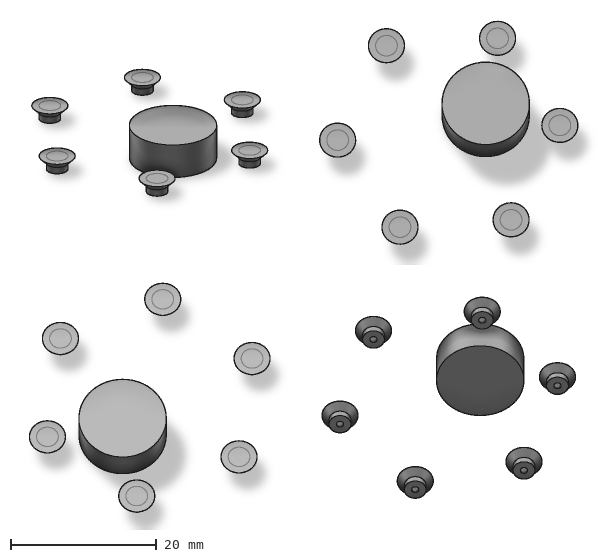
import cadquery as cq
import math

drum_diameter = 12.0
drum_height = 5.0
drum_center_x = drum_diameter / 2

stem_diameter = 3.0
stem_height = 1.0
flare_height = 1.0
flare_diameter = stem_diameter + 2 * flare_height
tip_height = 0.5
tip_radius = tip_height

foot_count = 6
foot_ring_radius = 15.27
first_foot_angle = 31.6


def make_drum():
    """Plain solid cylinder."""
    return cq.Workplane("XY").center(drum_center_x, 0).circle(drum_diameter / 2).extrude(drum_height)


def make_foot():
    """Foot revolved about Z: conical point, straight stem and flared head."""
    stem_radius = stem_diameter / 2
    head_z = stem_height + flare_height
    half_profile = [
        (0, -tip_height),
        (tip_radius, 0),
        (stem_radius, 0),
        (stem_radius, stem_height),
        (flare_diameter / 2, head_z),
        (stem_radius, head_z),
        (0, head_z),
    ]
    return cq.Workplane("XZ").polyline(half_profile).close().revolve(360, (0, 0), (0, 1), clean=False)


drum = make_drum()

feet = []
for index in range(foot_count):
    angle = math.radians(first_foot_angle + index * 360 / foot_count)
    foot_x = foot_ring_radius * math.cos(angle)
    foot_y = foot_ring_radius * math.sin(angle)
    feet.append(make_foot().translate((foot_x, foot_y, 0)).val())

result = cq.Compound.makeCompound([drum.val(), *feet])